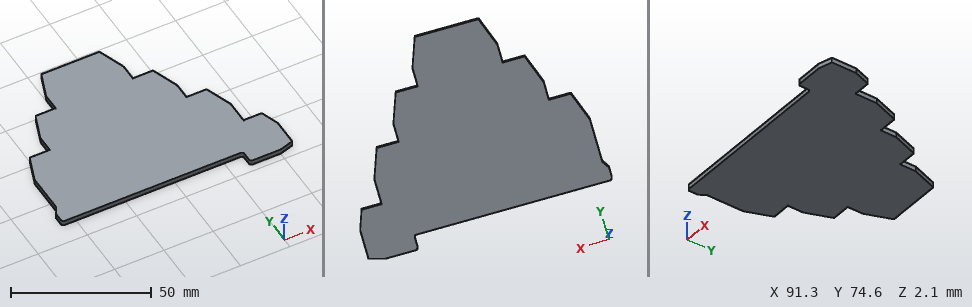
import cadquery as cq

length = 91.3
width = 74.6
thickness = 2.1

tier_center_x = 41.5
top_half_width = 15.7
tier_count = 3
tier_overhang = 12.05
tier_height = 17.5
shoulder_run = 3.9
shoulder_drop = 10.8

base_y = 5.4
flare_low_y = 10.0
flare_high_y = 12.8

foot_left_x = 73.3
foot_top_y = 19.4
foot_shoulder_run = 2.6
foot_shoulder_drop = 7.1
foot_toe_run = 5.7
foot_toe_rise = 1.6

corner_radius = 1.0


def tier_side(side):
    """Return one stepped side from the top down; side is -1 for left, +1 for right."""
    points = []
    for tier in range(tier_count):
        x = tier_center_x + side * (top_half_width + tier * tier_overhang)
        top_y = width - tier * tier_height
        if tier > 0:
            inner_x = x - side * tier_overhang
            points.append((inner_x, top_y))
        points.append((x - side * shoulder_run, top_y))
        points.append((x, top_y - shoulder_drop))
    return points


def foot_outline():
    """Return the foot from its upper step around to the inner corner of the lower edge."""
    lowest_tier_x = tier_center_x + top_half_width + (tier_count - 1) * tier_overhang
    return [
        (lowest_tier_x, foot_top_y),
        (length - foot_shoulder_run, foot_top_y),
        (length, foot_top_y - foot_shoulder_drop),
        (length, foot_toe_rise),
        (length - foot_toe_run, 0),
        (foot_left_x, 0),
        (foot_left_x, base_y),
    ]


def flare_outline():
    """Return the left end of the lower edge, up to the lowest tier."""
    lowest_tier_x = tier_center_x - top_half_width - (tier_count - 1) * tier_overhang
    return [(0, base_y), (0, flare_low_y), (lowest_tier_x, flare_high_y)]


def round_corner(plate, x, y):
    """Round the upright edge that stands at (x, y)."""
    corner = cq.selectors.NearestToPointSelector((x, y, thickness / 2))
    return plate.edges("|Z").edges(corner).fillet(corner_radius)


outline = tier_side(1) + foot_outline() + flare_outline() + tier_side(-1)[::-1]
plate = cq.Workplane("XY").polyline(outline).close().extrude(thickness)

for corner_x, corner_y in [(0, base_y), (foot_left_x, base_y), (foot_left_x, 0)]:
    plate = round_corner(plate, corner_x, corner_y)

result = plate